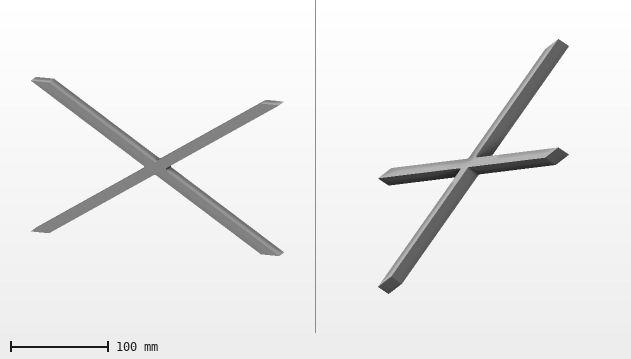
import cadquery as cq

width = 270.0
height = 160.0
thickness = 15.0
foot_width = 20.0
crotch_radius = 2.0

half_width = width / 2
half_height = height / 2
inner_foot_x = half_width - foot_width


def diagonal_bar(side):
    """Bar with horizontal ends; side = 1 rises toward +X, side = -1 rises toward -X."""
    outline = [
        (side * half_width, half_height),
        (side * inner_foot_x, half_height),
        (-side * half_width, -half_height),
        (-side * inner_foot_x, -half_height),
    ]
    return cq.Workplane("XZ").polyline(outline).close().extrude(thickness / 2, both=True)


def crotch_edges():
    """Selector for the Y-direction edges where the two bars meet."""
    near_center = foot_width
    return cq.selectors.BoxSelector(
        (-near_center, -thickness, -near_center),
        (near_center, thickness, near_center),
    )


cross = diagonal_bar(1).union(diagonal_bar(-1))
result = cross.edges("|Y").edges(crotch_edges()).fillet(crotch_radius)